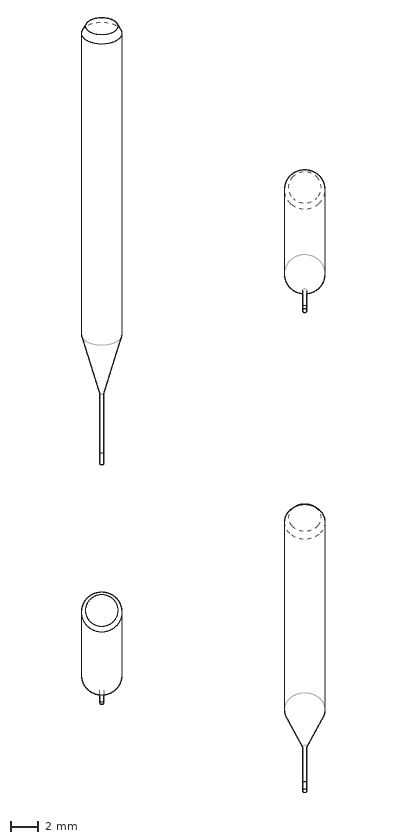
import cadquery as cq

total_length = 38.08
shank_radius = 1.5

chamfer_height = 0.6
chamfer_width = 0.3

cutter_length = 1.1
cone_bottom = 6.2
cone_top = 11.3

point_height = 0.08

neck_radius = 0.16


def make_holder():
    """Chamfered shank, tapering cone and slender neck, turned as one solid."""
    profile = [
        (0, cutter_length),
        (neck_radius, cutter_length),
        (neck_radius, cone_bottom),
        (shank_radius, cone_top),
        (shank_radius, total_length - chamfer_height),
        (shank_radius - chamfer_width, total_length),
        (0, total_length),
    ]
    return cq.Workplane("XZ").polyline(profile).close().revolve(360, (0, 0), (0, 1))


def make_cutter():
    """Cylindrical cutting tip with a shallow conical point, butted against the neck."""
    profile = (
        cq.Workplane("XZ")
        .moveTo(0, cutter_length)
        .lineTo(neck_radius, cutter_length)
        .lineTo(neck_radius, point_height)
        .lineTo(0, 0)
        .close()
    )
    return profile.revolve(360, (0, 0), (0, 1))


holder = make_holder()
cutter = make_cutter()

result = cq.Compound.makeCompound([holder.val(), cutter.val()])